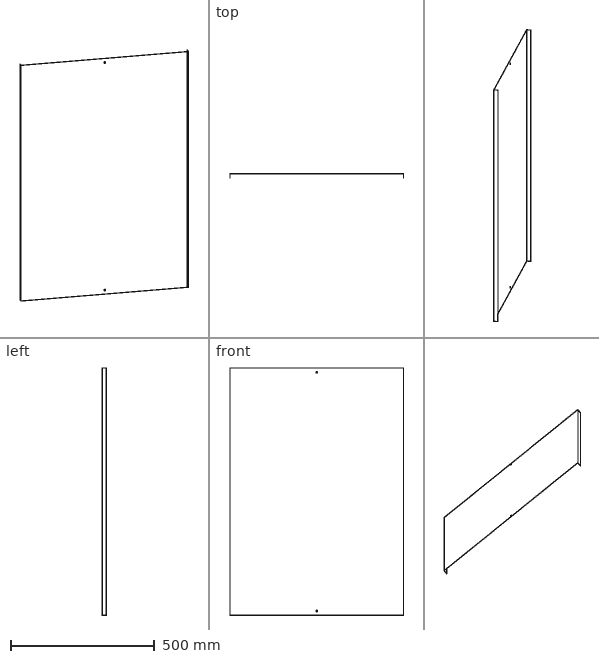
import cadquery as cq

panel_width = 603.6
panel_depth = 14.8
panel_height = 860.0
sheet_thickness = 0.8

hole_diameter = 5.0
hole_edge_distance = 15.0


def folded_panel():
    """Flat sheet with both side edges folded toward -Y."""
    envelope = cq.Workplane("XY").box(panel_width, panel_depth, panel_height)
    inner_width = panel_width - 2 * sheet_thickness
    channel = (
        cq.Workplane("XY")
        .box(inner_width, panel_depth, panel_height)
        .translate((0, -sheet_thickness, 0))
    )
    return envelope.cut(channel)


def mounting_holes():
    """One through hole near the top end and one near the bottom end."""
    hole_offset = panel_height / 2 - hole_edge_distance
    return (
        cq.Workplane("XZ")
        .pushPoints([(0, hole_offset), (0, -hole_offset)])
        .circle(hole_diameter / 2)
        .extrude(panel_depth, both=True)
    )


result = folded_panel().cut(mounting_holes())